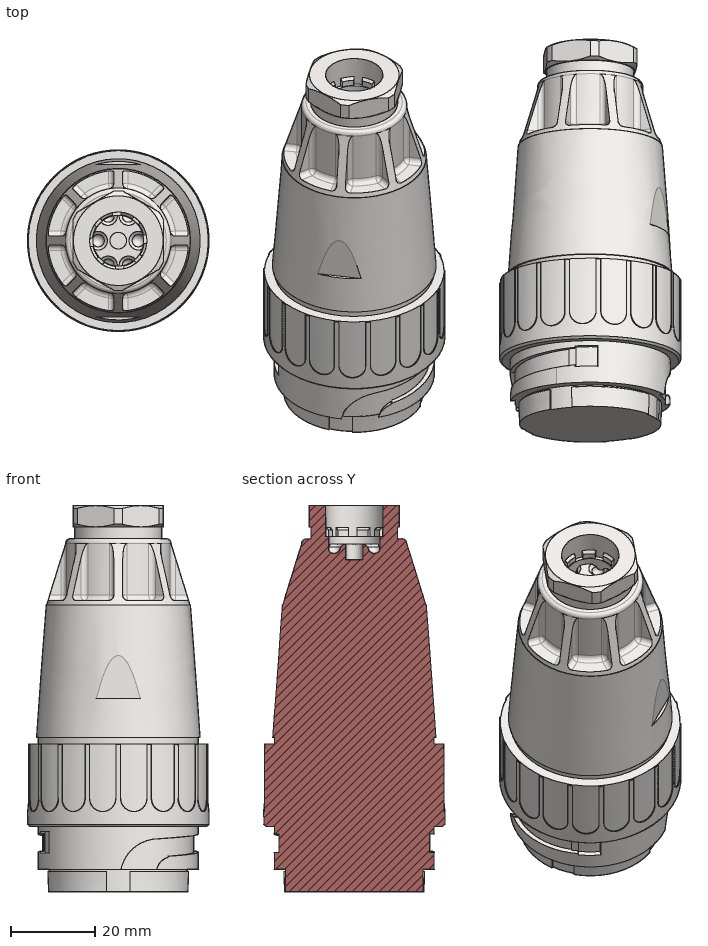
import cadquery as cq
import math

tip_top = 4.85
barrel_bottom = 5.3
collar_bottom = 15.5
collar_top = 35.0
shell_bottom = 36.6
shell_top = 67.9
shell_middle = (shell_bottom + shell_top) / 2
cap_shoulder = 82.5
cap_top = 83.6
nut_bottom = 86.4
total_height = 91.5

tip_core_radius = 16.4
tip_pad_bottom_radius = 16.7
tip_pad_top_radius = 16.9
barrel_radius = 38.0 / 2
collar_radius = 21.5
shell_bottom_radius = 19.4
shell_middle_radius = 18.3
shell_top_radius = 17.1
cap_base_radius = 17.0
cap_core_radius = 25.0 / 2
neck_radius = 10.3
bore_radius = 13.5 / 2

cap_edge_round = cap_top - cap_shoulder
collar_bottom_chamfer = 0.55
collar_top_chamfer = 0.2
tip_groove_count = 4
tip_groove_width = 5.7
grip_count = 18
grip_width = 6.3
grip_depth = 0.23
grip_low_point = 19.0
flat_offset = 18.0
flat_bottom = 45.75
rib_count = 8
rib_width = 2.1
pocket_floor = 69.0
pocket_round = 1.3
nut_across_flats = 21.4
nut_corner_radius = 11.8
nut_face_radius = 10.6
nut_chamfer_angle = 30
bore_depth = 7.3
seal_bore_radius = 12.0 / 2
seal_depth = 9.15
finger_count = 8
finger_turn = 3
finger_inner_radius = 6.1
finger_slot_width = 2.0
finger_top_depth = 5.2
seal_notch_radius = 2.2
side_notch_offset = 4.8
outer_notch_offset = 6.3
outer_notch_angle = 67.5
seal_notch_bowl_radius = 1.5
seal_hole_diameter = 3.9
seal_hole_depth = 3.7

track_floor_radius = 17.8
track_width = 4.3
track_start_angle = 27
track_end_angle = 104
track_start_height = 10.3
track_rise = 1.5
mouth_left = 0.6
mouth_right = 9.15
mouth_left_bend = (3.4, 10.2)
mouth_curve_end = 8.4
mouth_right_bend = (10.25, 7.3)
mouth_inner_end = 11.8
latch_end_angle = 120.4
latch_bottom = 9.2
latch_top = 14.3
sill_start_angle = 98.6
sill_height = 0.3

overlap = 0.9


def ring(outer, inner, bottom, top):
    return (
        cq.Workplane("XY").workplane(offset=bottom)
        .circle(outer).circle(inner).extrude(top - bottom)
    )


def polar_copies(solid, count):
    copies = cq.Workplane("XY")
    for i in range(count):
        copies = copies.add(solid.rotate((0, 0, 0), (0, 0, 1), i * 360 / count).vals())
    return copies.combine()


def make_body():
    """Turned envelope from the mating tip up to the neck under the nut."""
    return (
        cq.Workplane("XZ")
        .moveTo(0, 0)
        .lineTo(tip_pad_bottom_radius, 0)
        .lineTo(tip_pad_top_radius, tip_top)
        .lineTo(tip_core_radius, tip_top)
        .lineTo(tip_core_radius, barrel_bottom)
        .lineTo(barrel_radius, barrel_bottom)
        .lineTo(barrel_radius, collar_bottom)
        .lineTo(collar_radius - collar_bottom_chamfer, collar_bottom)
        .lineTo(collar_radius, collar_bottom + collar_bottom_chamfer)
        .lineTo(collar_radius, collar_top - collar_top_chamfer)
        .lineTo(collar_radius - collar_top_chamfer, collar_top)
        .lineTo(barrel_radius, collar_top)
        .lineTo(barrel_radius, shell_bottom)
        .lineTo(shell_bottom_radius, shell_bottom)
        .threePointArc((shell_middle_radius, shell_middle), (shell_top_radius, shell_top))
        .lineTo(cap_base_radius, shell_top)
        .lineTo(cap_core_radius, cap_shoulder)
        .radiusArc((cap_core_radius - cap_edge_round, cap_top), -cap_edge_round)
        .lineTo(neck_radius, cap_top)
        .lineTo(neck_radius, nut_bottom)
        .lineTo(0, nut_bottom)
        .close()
        .revolve(360, (0, 0, 0), (0, 1, 0))
    )


def make_nut():
    """Hexagon with flats facing +X and -X, its corners turned and chamfered at both ends."""
    height = total_height - nut_bottom
    chamfer = (nut_corner_radius - nut_face_radius) * math.tan(math.radians(nut_chamfer_angle))
    hexagon = (
        cq.Workplane("XY").workplane(offset=nut_bottom)
        .polygon(6, nut_across_flats, circumscribed=True).extrude(height)
    )
    envelope = (
        cq.Workplane("XZ")
        .moveTo(0, nut_bottom)
        .lineTo(nut_face_radius, nut_bottom)
        .lineTo(nut_corner_radius, nut_bottom + chamfer)
        .lineTo(nut_corner_radius, total_height - chamfer)
        .lineTo(nut_face_radius, total_height)
        .lineTo(0, total_height)
        .close()
        .revolve(360, (0, 0, 0), (0, 1, 0))
    )
    return hexagon.intersect(envelope)


def make_bore():
    """Stepped cable entry, open at the top and ending on the seal face."""
    upper = cq.Workplane("XY").workplane(offset=total_height).circle(bore_radius).extrude(-bore_depth)
    lower = cq.Workplane("XY").workplane(offset=total_height).circle(seal_bore_radius).extrude(-seal_depth)
    return upper.union(lower).cut(make_clamp_fingers()).union(make_seal_recesses())


def make_clamp_fingers():
    """Slotted ring standing on the bore step, its fingers sloping inwards at the top."""
    top = total_height - finger_top_depth
    wall = bore_radius - finger_inner_radius
    fingers = (
        cq.Workplane("XZ")
        .moveTo(finger_inner_radius, total_height - bore_depth)
        .lineTo(bore_radius, total_height - bore_depth)
        .lineTo(bore_radius, top)
        .lineTo(finger_inner_radius, top - wall)
        .close()
        .revolve(360, (0, 0, 0), (0, 1, 0))
    )
    slot = cq.Workplane("XY").box(
        2 * bore_radius, finger_slot_width, total_height, centered=(False, True, False)
    )
    slots = polar_copies(slot, finger_count).rotate((0, 0, 0), (0, 0, 1), finger_turn)
    return fingers.cut(slots)


def make_seal_recesses():
    """Hole in the middle of the seal face and conical, round-bottomed notches around it."""
    seal_face = total_height - seal_depth
    hole = (
        cq.Workplane("XY").workplane(offset=seal_face)
        .circle(seal_hole_diameter / 2).extrude(-seal_hole_depth)
    )
    cone_depth = seal_notch_radius - seal_notch_bowl_radius
    notch = (
        cq.Workplane("XZ")
        .lineTo(seal_notch_radius, 0)
        .lineTo(seal_notch_bowl_radius, -cone_depth)
        .radiusArc((0, -cone_depth - seal_notch_bowl_radius), seal_notch_bowl_radius)
        .close()
        .revolve(360, (0, 0, 0), (0, 1, 0))
        .translate((0, 0, seal_face))
    )
    side_notch = notch.translate((side_notch_offset, 0, 0))
    outer_notch = notch.translate((outer_notch_offset, 0, 0))
    half_set = side_notch
    for angle in (outer_notch_angle, -outer_notch_angle):
        half_set = half_set.union(outer_notch.rotate((0, 0, 0), (0, 0, 1), angle))
    limit = cq.Workplane("XY").circle(seal_bore_radius).extrude(total_height)
    return hole.union(polar_copies(half_set, 2).intersect(limit))


def make_cap_pockets():
    """Pockets between the cap ribs, rounded at the floor and beside each rib."""
    reach = cap_base_radius + 2 * pocket_round + overlap
    half_step = math.pi / rib_count

    def beside_rib(radius):
        angle = math.asin(rib_width / 2 / radius)
        return (radius * math.cos(angle), radius * math.sin(angle))

    def beside_next_rib(radius):
        angle = 2 * half_step - math.asin(rib_width / 2 / radius)
        return (radius * math.cos(angle), radius * math.sin(angle))

    def middle(radius):
        return (radius * math.cos(half_step), radius * math.sin(half_step))

    pocket = (
        cq.Workplane("XY").workplane(offset=pocket_floor)
        .moveTo(*beside_rib(cap_core_radius))
        .lineTo(*beside_rib(reach))
        .threePointArc(middle(reach), beside_next_rib(reach))
        .lineTo(*beside_next_rib(cap_core_radius))
        .threePointArc(middle(cap_core_radius), beside_rib(cap_core_radius))
        .close()
        .extrude(cap_shoulder - pocket_floor)
    )
    pocket = pocket.edges("|Z or <Z").fillet(pocket_round)
    return polar_copies(pocket, rib_count)


def make_shell_flats():
    """Flats on the -Y and +Y sides of the shell, each ending on a ledge."""
    thickness = shell_bottom_radius + overlap - flat_offset
    slab = cq.Workplane("XY").box(
        2 * shell_bottom_radius, thickness, shell_top - flat_bottom, centered=(True, False, False)
    ).translate((0, flat_offset, flat_bottom))
    return polar_copies(slab, 2)


def make_grip_recesses():
    """Shallow finger recesses around the collar, open at the top and round at the bottom."""
    arc_centre = grip_low_point + grip_width / 2
    outline = (
        cq.Workplane("YZ")
        .moveTo(-grip_width / 2, collar_top + overlap)
        .lineTo(-grip_width / 2, arc_centre)
        .threePointArc((0, grip_low_point), (grip_width / 2, arc_centre))
        .lineTo(grip_width / 2, collar_top + overlap)
        .close()
        .extrude(collar_radius + overlap)
    )
    skin = ring(
        collar_radius + overlap, collar_radius - grip_depth, collar_bottom, collar_top + overlap
    )
    return polar_copies(outline.intersect(skin), grip_count)


def make_tip_grooves():
    """Axial keyways splitting the tip into pads."""
    groove = cq.Workplane("XY").box(
        tip_pad_top_radius + overlap, tip_groove_width, tip_top, centered=(False, True, False)
    )
    skin = ring(tip_pad_top_radius + overlap, tip_core_radius, 0, tip_top)
    return polar_copies(groove, tip_groove_count).intersect(skin)


def track_point(radius, angle):
    turned = math.radians(angle - 90)
    return (radius * math.cos(turned), radius * math.sin(turned))


def make_sector(start, end, inner, bottom, top):
    """Ring sector between two track angles, reaching past the barrel surface."""
    outer = barrel_radius + overlap
    middle = (start + end) / 2
    return (
        cq.Workplane("XY").workplane(offset=bottom)
        .moveTo(*track_point(inner, start))
        .lineTo(*track_point(outer, start))
        .threePointArc(track_point(outer, middle), track_point(outer, end))
        .lineTo(*track_point(inner, end))
        .threePointArc(track_point(inner, middle), track_point(inner, start))
        .close()
        .extrude(top - bottom)
    )


def make_track_ramp():
    """Helical stretch of the bayonet track."""
    sweep_angle = track_end_angle - track_start_angle
    depth = 2 * (barrel_radius - track_floor_radius) + overlap
    pitch = track_rise * 360 / sweep_angle
    helix = cq.Wire.makeHelix(pitch, track_rise, barrel_radius)
    ramp = (
        cq.Workplane("XZ").center(barrel_radius, 0).rect(depth, track_width)
        .sweep(cq.Workplane(helix), isFrenet=True)
    )
    ramp = ramp.rotate((0, 0, 0), (0, 0, 1), track_start_angle - 90)
    return ramp.translate((0, 0, track_start_height))


def make_bayonet_tracks():
    """Two opposite tracks: curved mouth, helical ramp, sill and latch pocket."""
    half = track_width / 2
    mouth = (
        cq.Workplane("XZ")
        .moveTo(mouth_left, barrel_bottom)
        .threePointArc(mouth_left_bend, (mouth_curve_end, track_start_height + half))
        .lineTo(mouth_inner_end, track_start_height + half)
        .lineTo(mouth_inner_end, track_start_height - half)
        .threePointArc(mouth_right_bend, (mouth_right, barrel_bottom))
        .close()
        .extrude(barrel_radius + overlap)
    )
    latch = make_sector(track_end_angle, latch_end_angle, track_floor_radius, latch_bottom, latch_top)
    skin = ring(barrel_radius + overlap, track_floor_radius, barrel_bottom, collar_bottom)
    sill = ring(track_floor_radius + sill_height, 0, barrel_bottom, collar_bottom).intersect(
        make_sector(sill_start_angle, track_end_angle, track_floor_radius - overlap,
                    barrel_bottom, collar_bottom)
    )
    track = mouth.union(make_track_ramp()).intersect(skin).cut(sill).union(latch)
    return polar_copies(track, 2)


result = (
    make_body()
    .cut(make_cap_pockets())
    .cut(make_shell_flats())
    .cut(make_grip_recesses())
    .cut(make_tip_grooves())
    .cut(make_bayonet_tracks())
    .union(make_nut())
    .cut(make_bore())
)